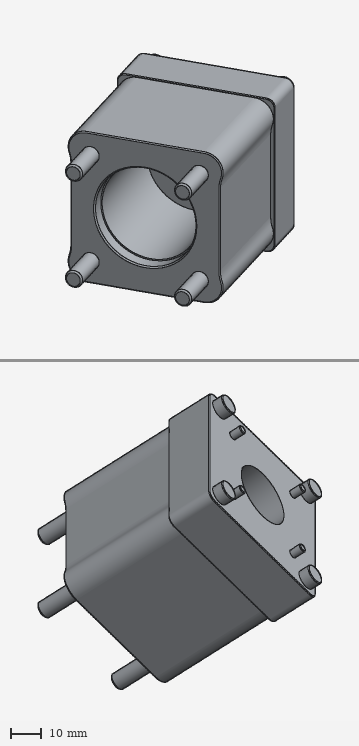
import cadquery as cq
import math

flange_size = 55.0
flange_thickness = 17.0
flange_corner_radius = 3.0
flange_edge_chamfer = 0.3

body_size = 54.0
body_length = 44.0
body_corner_radius = 6.5
body_edge_chamfer = 0.4
side_flat_half_height = 14.8
corner_arc_overrun = 2.1

mouth_diameter = 35.0
mouth_depth = 5.0
mouth_chamfer = 0.5
bore_diameter = 34.0
through_diameter = 22.0

stud_diameter = 6.0
stud_length = 15.0
stud_offset = 19.0
stud_chamfer = 0.6

head_diameter = 7.0
head_height = 4.0
head_offset = 22.3
head_chamfer = 0.3
dowel_diameter = 3.0
dowel_height = 4.3
dowel_offset = 15.5
dowel_chamfer = 0.3

front_face = 0.0
joint_face = body_length
rear_face = body_length + flange_thickness


def plane_at(y):
    """XZ plane at the given Y whose local z points toward +Y and local y toward -Z."""
    return cq.Workplane(cq.Plane(origin=(0, y, 0), xDir=(1, 0, 0), normal=(0, 1, 0)))


def cylinder(y_start, diameter, length):
    """Cylinder on the Y axis running from y_start toward +Y."""
    return plane_at(y_start).circle(diameter / 2).extrude(length)


def body_profile():
    """Square with round corners that blend through concave arcs into recessed side flats."""
    half = body_size / 2
    center = half - body_corner_radius
    overrun_angle = math.asin(corner_arc_overrun / body_corner_radius)
    mid_angle = (math.pi / 2 - overrun_angle) / 2

    corner_mid_x = center + body_corner_radius * math.cos(mid_angle)
    corner_mid_z = center + body_corner_radius * math.sin(mid_angle)
    corner_end_x = center + body_corner_radius * math.cos(overrun_angle)
    corner_end_z = center - corner_arc_overrun

    blend_radius = (corner_end_z - side_flat_half_height) / math.sin(overrun_angle)
    flat_x = corner_end_x - blend_radius * (1 - math.cos(overrun_angle))
    blend_mid_x = flat_x + blend_radius * (1 - math.cos(overrun_angle / 2))
    blend_mid_z = side_flat_half_height + blend_radius * math.sin(overrun_angle / 2)

    profile = plane_at(front_face).moveTo(-center, half)
    for side in (1, -1):
        profile = (
            profile.lineTo(side * center, side * half)
            .threePointArc(
                (side * corner_mid_x, side * corner_mid_z),
                (side * corner_end_x, side * corner_end_z),
            )
            .threePointArc(
                (side * blend_mid_x, side * blend_mid_z),
                (side * flat_x, side * side_flat_half_height),
            )
            .lineTo(side * flat_x, -side * side_flat_half_height)
            .threePointArc(
                (side * blend_mid_x, -side * blend_mid_z),
                (side * corner_end_x, -side * corner_end_z),
            )
            .threePointArc(
                (side * corner_mid_x, -side * corner_mid_z),
                (side * center, -side * half),
            )
        )
    return profile.close()


def housing_body():
    """Housing body with its front edge chamfered."""
    body = body_profile().extrude(body_length)
    return body.faces("<Y").edges().chamfer(body_edge_chamfer)


def flange():
    """Square flange plate with rounded corners and chamfered front and rear edges."""
    plate = plane_at(joint_face).rect(flange_size, flange_size).extrude(flange_thickness)
    plate = plate.edges("|Y").fillet(flange_corner_radius)
    return plate.faces("<Y or >Y").edges().chamfer(flange_edge_chamfer)


def stepped_bore():
    """Material removed by the mouth, the main bore and the through hole."""
    through = cylinder(front_face, through_diameter, rear_face - front_face)
    bore = cylinder(front_face, bore_diameter, body_length)
    mouth = cylinder(front_face, mouth_diameter, mouth_depth)
    lead_in = (
        plane_at(front_face)
        .circle(mouth_diameter / 2 + mouth_chamfer)
        .workplane(offset=mouth_chamfer)
        .circle(mouth_diameter / 2)
        .loft()
    )
    return through.union(bore).union(mouth).union(lead_in)


def four_corners(shape, offset):
    """Copies of a Y-axis shape at the four corners of a square."""
    copies = cq.Workplane()
    for x in (-offset, offset):
        for z in (-offset, offset):
            copies = copies.add(shape.translate((x, 0, z)))
    return copies.combine()


def studs():
    """Front studs with chamfered tips."""
    stud = cylinder(front_face - stud_length, stud_diameter, stud_length)
    stud = stud.faces("<Y").edges().chamfer(stud_chamfer)
    return four_corners(stud, stud_offset)


def rear_cylinders(diameter, height, offset, chamfer):
    """Four short cylinders standing on the rear face, chamfered at the free end."""
    post = cylinder(rear_face, diameter, height)
    post = post.faces(">Y").edges().chamfer(chamfer)
    return four_corners(post, offset)


result = (
    housing_body()
    .union(flange())
    .cut(stepped_bore())
    .union(studs())
    .union(rear_cylinders(head_diameter, head_height, head_offset, head_chamfer))
    .union(rear_cylinders(dowel_diameter, dowel_height, dowel_offset, dowel_chamfer))
)